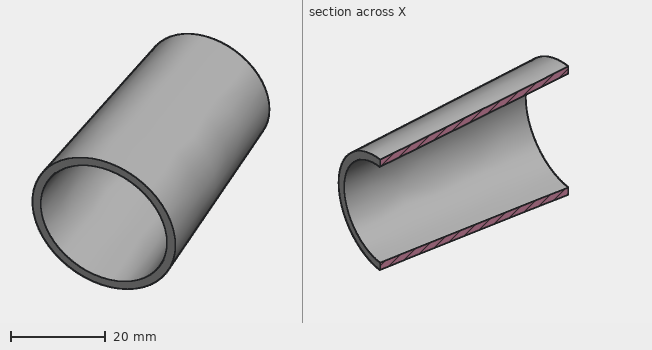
import cadquery as cq

length = 50.0
large_outer_diameter = 33.7
small_outer_diameter = 29.0
wall = 2.0

large_outer_radius = large_outer_diameter / 2
small_outer_radius = small_outer_diameter / 2

half_section = (
    cq.Workplane("XY")
    .moveTo(large_outer_radius - wall, 0)
    .lineTo(large_outer_radius, 0)
    .lineTo(small_outer_radius, length)
    .lineTo(small_outer_radius - wall, length)
    .close()
)

result = half_section.revolve(360, (0, 0, 0), (0, 1, 0))